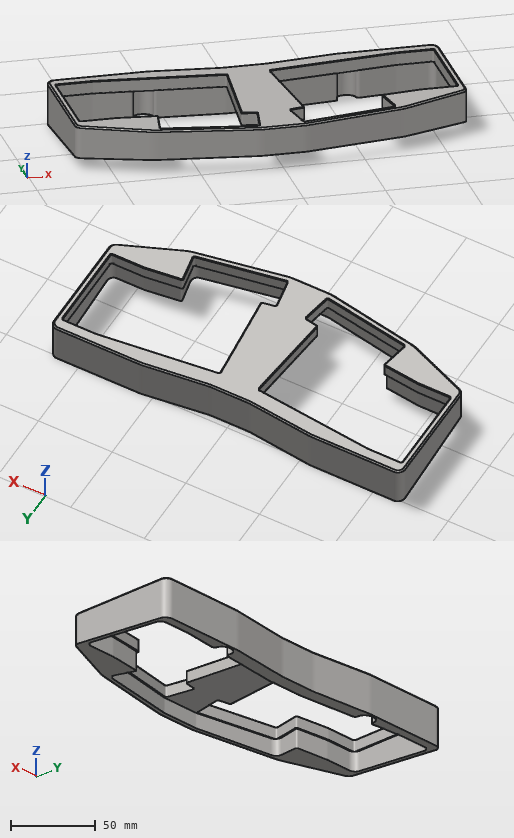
import cadquery as cq
import math

LENGTH = 238.6
DEPTH = 103.69
HEIGHT = 26.89
HALF = LENGTH / 2
TILT = 5.0
PLATE = 8.0
TOP_CHAMFER = 1.0
WINDOW_CHAMFER = 0.5
CHAMFER_ANGLE = 45.0
OVERCUT = 10.0

CORNER_RADIUS = 5.0
BEND_RADIUS = 27.0
BACK_CORNER = (-HALF, 0)
SIDE_CORNER = (-HALF, -74.5)
REST_OUTER_BEND = (-76.5, -92.3)
FRONT_OUTER_BEND = (-14.0, -DEPTH)
MIDDLE_BACK_BEND = (-13.5, -5.0)
BACK_OUTER_BEND = (-57.5, 0)

WINDOW_RADIUS = 1.0
WINDOW_BACK_LEFT = (-115.2, -8.0)
WINDOW_BACK_BEND = (-92.6, -8.0)
WINDOW_BACK_RIGHT = (-13.2, -16.7)
COLUMN_TIP = (-19.3, -77.5)
COLUMN_STEP = (-10.1, -79.2)
WINDOW_FRONT_RIGHT = (-13.6, -99.1)
WINDOW_FRONT_LEFT = (-71.6, -89.0)
REST_TIP = (-68.1, -69.7)
REST_BEND = (-93.0, -66.8)
REST_LEFT = (-115.2, -66.8)

CAVITY_OFFSET = 1.0
CAVITY_CORNER_RADIUS = 4.3
CAVITY_BEND_RADIUS = 12.0
CAVITY_EDGE_RADIUS = 1.0
CAVITY_BACK_BEND = (-13.5, -16.7)

NOTCH_X = -61.9
NOTCH_RADIUS = 6.0
NOTCH_Y = -7.7
NOTCH_MOUTH_RADIUS = 2.0


def mirrored(points):
    """The left-half points followed by their mirror images, in outline order."""
    return points + [(-x, y) for x, y in reversed(points)]


def prism(points, bottom, top):
    return cq.Workplane("XY").workplane(offset=bottom).polyline(points).close().extrude(top - bottom)


def vertical_edges_at(body, corners, reach=0.01):
    """Vertical edges of a prism standing within reach of the given corner points."""

    def at_corner(edge):
        centre = edge.Center()
        return any(math.hypot(centre.x - x, centre.y - y) < reach for x, y in corners)

    return body.edges("|Z").filter(at_corner)


def make_body():
    corners = [BACK_CORNER, SIDE_CORNER]
    front_bends = [REST_OUTER_BEND, FRONT_OUTER_BEND]
    back_bends = [MIDDLE_BACK_BEND, BACK_OUTER_BEND]
    body = prism(mirrored(back_bends + corners + front_bends), -HEIGHT, 0)
    body = vertical_edges_at(body, mirrored(corners)).fillet(CORNER_RADIUS)
    body = vertical_edges_at(body, mirrored(front_bends + back_bends)).fillet(BEND_RADIUS)
    return body.faces(">Z").chamfer(TOP_CHAMFER)


def make_window():
    """Cutter for the left key window, flared at the top to chamfer its rim."""
    outline = [
        WINDOW_BACK_LEFT, WINDOW_BACK_BEND, WINDOW_BACK_RIGHT, COLUMN_TIP, COLUMN_STEP,
        WINDOW_FRONT_RIGHT, WINDOW_FRONT_LEFT, REST_TIP, REST_BEND, REST_LEFT,
    ]
    window = prism(outline, -PLATE, 0).edges("|Z").fillet(WINDOW_RADIUS)
    rim = window.faces(">Z").wires().toPending().workplane()
    flare = rim.offset2D(WINDOW_CHAMFER).extrude(-WINDOW_CHAMFER, taper=CHAMFER_ANGLE)
    return window.union(flare)


def cavity_back_y(x):
    """Approximate Y of the cavity's back wall between its bends."""
    x1, y1 = WINDOW_BACK_BEND
    x2, y2 = CAVITY_BACK_BEND
    return y1 + CAVITY_OFFSET + (y2 - y1) * (-abs(x) - x1) / (x2 - x1)


def make_notch(x):
    """Upright cylinder cut into the back wall, reaching up to the plate."""
    notch = cq.Workplane("XY").workplane(offset=-PLATE).center(x, NOTCH_Y)
    return notch.circle(NOTCH_RADIUS).extrude(-HEIGHT)


def make_cavity():
    """Cutter for the hollow under the plate, open at the bottom and joining both windows."""
    outline = [
        CAVITY_BACK_BEND, WINDOW_BACK_BEND, WINDOW_BACK_LEFT, REST_LEFT, REST_BEND,
        REST_TIP, WINDOW_FRONT_LEFT, WINDOW_FRONT_RIGHT,
    ]
    sketch = cq.Workplane("XY").workplane(offset=-PLATE).polyline(mirrored(outline)).close()
    cavity = sketch.offset2D(CAVITY_OFFSET, "intersection").extrude(-HEIGHT)
    reach = 2 * CAVITY_OFFSET
    corners = [WINDOW_BACK_LEFT, REST_LEFT, WINDOW_FRONT_LEFT, WINDOW_FRONT_RIGHT]
    bends = [CAVITY_BACK_BEND, WINDOW_BACK_BEND, REST_BEND]
    cavity = vertical_edges_at(cavity, mirrored(corners), reach).fillet(CAVITY_CORNER_RADIUS)
    cavity = vertical_edges_at(cavity, mirrored(bends), reach).fillet(CAVITY_BEND_RADIUS)
    cavity = vertical_edges_at(cavity, mirrored([REST_TIP]), reach).fillet(CAVITY_EDGE_RADIUS)
    for x in (NOTCH_X, -NOTCH_X):
        cavity = cavity.union(make_notch(x))
        mouth = []
        for side in (-NOTCH_RADIUS, NOTCH_RADIUS):
            mouth.append((x + side, cavity_back_y(x + side)))
        cavity = vertical_edges_at(cavity, mouth, NOTCH_MOUTH_RADIUS).fillet(NOTCH_MOUTH_RADIUS)
    return cavity


def make_underside_cut():
    """Wedge below the sloping underside, which starts at full height at the back."""
    slope = math.tan(math.radians(TILT))
    back = (OVERCUT, -HEIGHT - OVERCUT * slope)
    front_y = -DEPTH - OVERCUT
    front = (front_y, -HEIGHT - front_y * slope)
    below = -2 * HEIGHT
    outline = [back, front, (front_y, below), (OVERCUT, below)]
    return cq.Workplane("YZ").polyline(outline).close().extrude(HALF + OVERCUT, both=True)


window = make_window()
result = make_body().cut(make_cavity())
result = result.cut(window).cut(window.mirror("YZ"))
result = result.cut(make_underside_cut())